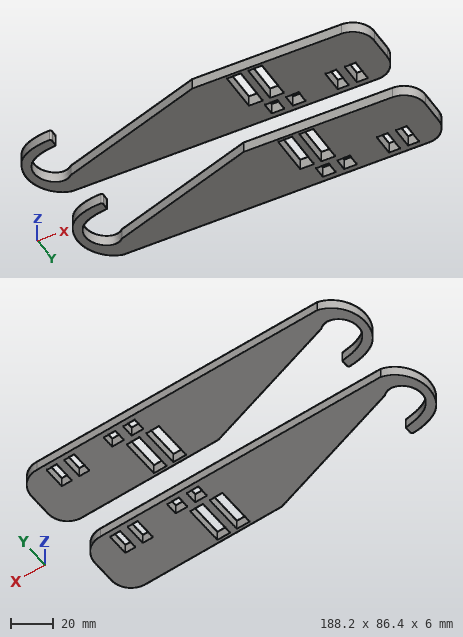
import cadquery as cq

LENGTH = 188.2
THICKNESS = 6.0
PLATE_WIDTH = 35.8
CORNER_RADIUS = 11.3
HOOK_DEPTH = 36.3
TAPER_END_X = 97.7

HOOK_COUNT = 2
SET_WIDTH = 86.4
HOOK_PITCH = SET_WIDTH - HOOK_DEPTH

OUTER_START = (14.1, 0)
OUTER_SHOULDER = (3.8, -7.2)
OUTER_LEFT = (0, -18.8)
OUTER_BELLY = (4.5, -30.7)
OUTER_LOWER = (11.1, -34.5)

INNER_TIP = (22.8, -31.6)
INNER_BELLY = (14.0, -30.0)
INNER_BEND = (6.4, -25.2)
INNER_LOWER_LEFT = (4.9, -22.2)
INNER_LEFT = (4.5, -19.4)
INNER_SHOULDER = (7.7, -11.7)
INNER_TOP = (13.5, -8.5)
TAPER_START = (19.0, -10.2)

TIP_RADIUS = 1.0

UPPER_MARGIN = 2.8
MIDDLE_PITCH = 11.3

SQUARE_LEFT = 122.0
SQUARE_SIDE = 6.8

TALL_LEFT = 115.2
TALL_TOP = 12.6
TALL_WIDTH = 7.3
TALL_HEIGHT = 21.5

END_LEFT = 157.1
END_WIDTH = 5.8
END_HEIGHT = 12.0
END_PITCH = 10.2


def hook_plate():
    """Flat plate that tapers from a rounded end to a curved hook."""
    tip_x = INNER_TIP[0]
    outer_end = (tip_x - TIP_RADIUS, -HOOK_DEPTH)
    outer_curve = [OUTER_SHOULDER, OUTER_LEFT, OUTER_BELLY, OUTER_LOWER, outer_end]
    inner_curve = [
        INNER_BELLY,
        INNER_BEND,
        INNER_LOWER_LEFT,
        INNER_LEFT,
        INNER_SHOULDER,
        INNER_TOP,
        TAPER_START,
    ]
    plate = (
        cq.Workplane("XY")
        .moveTo(*OUTER_START)
        .spline(outer_curve, includeCurrent=True)
        .radiusArc((tip_x, -HOOK_DEPTH + TIP_RADIUS), -TIP_RADIUS)
        .lineTo(*INNER_TIP)
        .spline(inner_curve, includeCurrent=True)
        .lineTo(TAPER_END_X, -PLATE_WIDTH)
        .lineTo(LENGTH, -PLATE_WIDTH)
        .lineTo(LENGTH, 0)
        .close()
        .extrude(THICKNESS)
    )
    return plate.faces(">X").edges("|Z").fillet(CORNER_RADIUS)


def window_pair(left, top, width, height, pitch):
    """Cutter for two rectangular windows; top is the distance below the top edge."""
    return (
        cq.Workplane("XY")
        .pushPoints([(left, -top), (left + pitch, -top)])
        .rect(width, -height, centered=False)
        .extrude(THICKNESS)
    )


def hook(y_offset):
    """Hook plate with its three pairs of windows."""
    body = (
        hook_plate()
        .cut(window_pair(SQUARE_LEFT, UPPER_MARGIN, SQUARE_SIDE, SQUARE_SIDE, MIDDLE_PITCH))
        .cut(window_pair(TALL_LEFT, TALL_TOP, TALL_WIDTH, TALL_HEIGHT, MIDDLE_PITCH))
        .cut(window_pair(END_LEFT, UPPER_MARGIN, END_WIDTH, END_HEIGHT, END_PITCH))
    )
    return body.translate((0, y_offset, 0))


hooks = [hook(-index * HOOK_PITCH) for index in range(HOOK_COUNT)]

result = cq.Compound.makeCompound([body.solids().val() for body in hooks])